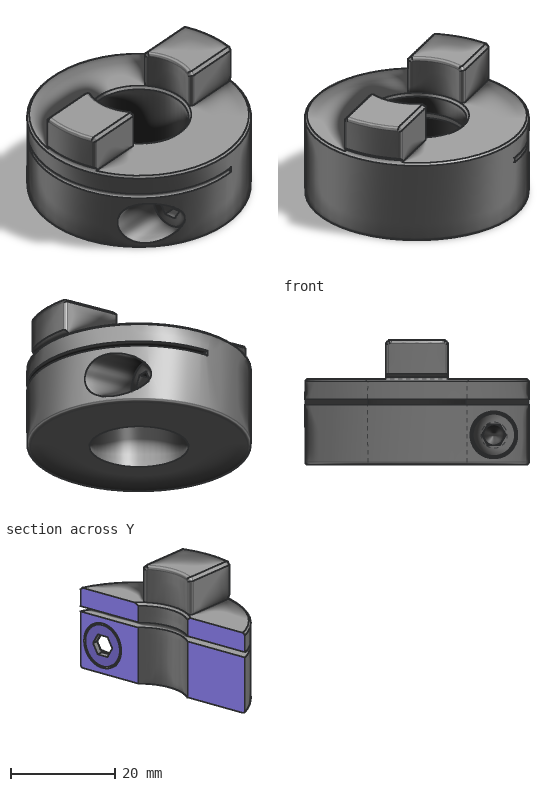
import cadquery as cq
import math

outer_radius = 21.5
bore_radius = 9.5
hub_height = 16.5
top_chamfer = 0.45
bottom_fillet = 0.6
bore_chamfer = 0.5

total_height = 24.0
lug_width = 12.0
lug_inner_radius = bore_radius + bore_chamfer
lug_rim_radius = 0.65
lug_top_chamfer = 0.65

relief_depth = 0.7
relief_bottom = hub_height - top_chamfer

slot_bottom = 11.55
slot_height = 1.0
slot_end_y = 1.9

screw_x = 14.75
screw_z = 5.75
recess_radius = 4.5
head_radius = 4.25
head_chamfer = 0.2
head_face_y = -8.6
head_length = 5.0
seat_y = head_face_y + head_length
shank_radius = 2.5
shank_length = 15.05
hex_across_flats = 4.0
hex_depth = 2.5
drill_tip_depth = 1.15


def cylinder_along_y(radius, start_y, length):
    """Cylinder on the screw axis, running toward +Y from start_y."""
    return cq.Workplane("XY").add(
        cq.Solid.makeCylinder(
            radius, length, cq.Vector(screw_x, start_y, screw_z), cq.Vector(0, 1, 0)
        )
    )


def make_disc():
    disc = cq.Workplane("XY").circle(outer_radius).extrude(hub_height)
    disc = disc.faces(">Z").chamfer(top_chamfer)
    disc = disc.faces("<Z").fillet(bottom_fillet)
    bore = cq.Workplane("XY").circle(bore_radius).extrude(hub_height)
    bore_rim = disc.cut(bore).faces(">Z").edges(cq.selectors.RadiusNthSelector(0))
    return bore_rim.chamfer(bore_chamfer)


def make_lug(side):
    """One lug on the +Y (side = 1) or -Y (side = -1) half of the ring."""
    base = relief_bottom
    height = total_height - base
    ring = (
        cq.Workplane("XY").workplane(offset=base)
        .circle(outer_radius).circle(lug_inner_radius).extrude(height)
    )
    bar = (
        cq.Workplane("XY").workplane(offset=base)
        .center(0, side * outer_radius / 2)
        .rect(lug_width, outer_radius).extrude(height)
    )
    lug = ring.intersect(bar)
    lug = lug.faces(">Z").edges("|Y").chamfer(lug_top_chamfer)
    lug = lug.faces("%CYLINDER").edges("not <Z").fillet(lug_rim_radius)
    relief = (
        cq.Workplane("XZ")
        .moveTo(outer_radius, relief_bottom)
        .lineTo(outer_radius - relief_depth, relief_bottom + relief_depth)
        .lineTo(outer_radius, relief_bottom + 2 * relief_depth)
        .close()
        .revolve(360, (0, 0, 0), (0, 1, 0))
    )
    return lug.cut(relief)


def make_clamp_slot():
    depth = outer_radius + slot_end_y
    return (
        cq.Workplane("XY").workplane(offset=slot_bottom)
        .center(0, slot_end_y - depth / 2)
        .rect(2 * outer_radius, depth).extrude(slot_height)
    )


def make_screw_hole():
    """Counterbore from the outside down to the head seat, then a hole for the shank."""
    recess = cylinder_along_y(recess_radius, -outer_radius, seat_y + outer_radius)
    shank_hole = cylinder_along_y(shank_radius, seat_y, shank_length)
    return recess.union(shank_hole)


def make_hub():
    hub = make_disc()
    for side in (1, -1):
        hub = hub.union(make_lug(side))
    return hub.cut(make_clamp_slot()).cut(make_screw_hole())


def make_screw():
    head = cylinder_along_y(head_radius, head_face_y, head_length)
    head = head.faces("<Y").chamfer(head_chamfer)
    shank = cylinder_along_y(shank_radius, seat_y, shank_length)
    hex_socket = (
        cq.Workplane("XZ", origin=(screw_x, head_face_y, screw_z))
        .polygon(6, hex_across_flats / math.cos(math.pi / 6))
        .extrude(-hex_depth)
    )
    drill_tip = cq.Solid.makeCone(
        hex_across_flats / 2, 0, drill_tip_depth,
        cq.Vector(screw_x, head_face_y + hex_depth, screw_z), cq.Vector(0, 1, 0),
    )
    return head.union(shank).cut(hex_socket).cut(cq.Workplane("XY").add(drill_tip))


hub = make_hub()
clamp_screw = make_screw()

result = cq.Compound.makeCompound([hub.solids().val(), clamp_screw.solids().val()])